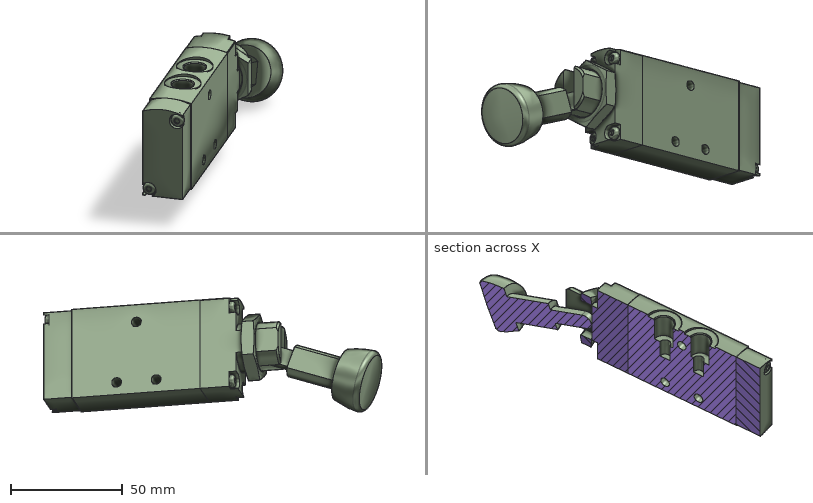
import cadquery as cq
import math

BLOCK_WIDTH = 19.5
CROWN_HEIGHT = 43.4
CROWN_SAG = 1.4
FRONT_SEAM_Y = 13.0
REAR_SEAM_Y = 71.8
REAR_FACE_Y = 88.4
FRONT_CAP_INSET = 0.5
EDGE_CHAMFER = 0.3

PORT_MIDDLE_Y = 42.6
PORT_SPACING = 19.8
SPOTFACE_DIAMETER = 16.5
SPOTFACE_DEPTH = 1.2
PORT_DIAMETER = 9.7
PORT_DEPTH = 12.2
PORT_CHAMFER = 0.5
PASSAGE_DIAMETER = 5.2
CROSS_HOLE_DIAMETER = 4.4
LOWER_HOLE_SPACING = 18.1
LOWER_HOLE_Z = 5.8
UPPER_HOLE_Z = 33.8

FRONT_SCREW_X = 6.5
REAR_SCREW_X = 6.2
LOWER_SCREW_Z = 3.5
UPPER_SCREW_Z = 38.3
RECESS_DIAMETER = 6.8
FRONT_RECESS_DEPTH = 2.5
REAR_RECESS_DEPTH = 3.3
HEAD_DIAMETER = 6.0
HEAD_HEIGHT = 2.1
HEAD_ROUNDING = 1.4
SOCKET_DIAMETER = 2.5
SOCKET_DEPTH = 0.9

STUB_AXIS_Z = 21.0
NECK_DIAMETER = 22.0
STUB_DIAMETER = 21.5
STUB_FLATS = 18.5
STUB_END_Y = 107.5
STUB_CHAMFER = 0.9
SLOT_WIDTH = 6.8
NUT_START_Y = 91.5
SLOT_FLOOR_Y = NUT_START_Y
NUT_THICKNESS = 6.1
NUT_FLATS = 27.2
NUT_HOLE_CHAMFER = 0.5
NUT_CHAMFER_DIAMETER = 26.2
NUT_CHAMFER_ANGLE = 10.0
HALF_HEX_STEP = 30.0

LEVER_TILT = 20.0
LEVER_ORIGIN_Y = 91.0
TONGUE_THICKNESS = 6.0
TONGUE_HEIGHT = 7.8
HANDLE_START = 22.8
HANDLE_DIAMETER = 14.8
HANDLE_FLATS = 10.6
KNOB_START = 46.7
KNOB_BASE_DIAMETER = 23.7
KNOB_DIAMETER = 28.5
KNOB_RIM = 58.1
KNOB_END = 60.5
KNOB_FACE_DOME = 0.5
KNOB_FACE_DIAMETER = 25.3
KNOB_SIDE_BULGE = 0.5

NUT_END_Y = NUT_START_Y + NUT_THICKNESS

FRONT_SCREWS = [(-FRONT_SCREW_X, LOWER_SCREW_Z), (FRONT_SCREW_X, UPPER_SCREW_Z)]


def box(x_range, y_range, z_range):
    """Axis-aligned block between pairs of limits."""
    size = [high - low for low, high in (x_range, y_range, z_range)]
    return cq.Workplane().box(*size, centered=False).translate((x_range[0], y_range[0], z_range[0]))


def rod(diameter, start_y, end_y, x=0.0, z=0.0):
    """Cylinder parallel to Y."""
    solid = cq.Solid.makeCylinder(diameter / 2, end_y - start_y, cq.Vector(x, start_y, z), cq.Vector(0, 1, 0))
    return cq.Workplane(solid)


def block(start_y, end_y, inset=0.0):
    """Length of the valve block: flat sides and underside, curved top."""
    half = BLOCK_WIDTH / 2 - inset
    shoulder = CROWN_HEIGHT - CROWN_SAG - inset
    outline = (
        cq.Workplane("XZ", origin=(0, start_y, 0))
        .moveTo(-half, inset)
        .lineTo(half, inset)
        .lineTo(half, shoulder)
        .threePointArc((0, CROWN_HEIGHT), (-half, shoulder))
        .close()
    )
    return outline.extrude(start_y - end_y)


def flatted_rod(diameter, flats, start_y, end_y):
    """Rod on the stub axis with a flat on each X side."""
    sides = box((-flats / 2, flats / 2), (start_y, end_y), (STUB_AXIS_Z - diameter, STUB_AXIS_Z + diameter))
    return rod(diameter, start_y, end_y, z=STUB_AXIS_Z).intersect(sides)


def screw_head(x, z, seat_y, outward):
    """Pan head with a round socket; outward is +1 towards +Y and -1 towards -Y."""
    head = (
        cq.Workplane("XY")
        .circle(HEAD_DIAMETER / 2)
        .extrude(HEAD_HEIGHT)
        .faces(">Z")
        .edges()
        .fillet(HEAD_ROUNDING)
        .faces(">Z")
        .workplane()
        .circle(SOCKET_DIAMETER / 2)
        .cutBlind(-SOCKET_DEPTH)
    )
    return head.rotate((0, 0, 0), (1, 0, 0), -90 * outward).translate((x, seat_y, z))


def make_body():
    body = block(FRONT_SEAM_Y, REAR_SEAM_Y)
    spotface_z = CROWN_HEIGHT - SPOTFACE_DEPTH
    passage_depth = spotface_z - STUB_AXIS_Z
    for side in (-1, 1):
        port = cq.Workplane("XY", origin=(0, PORT_MIDDLE_Y + side * PORT_SPACING / 2, spotface_z))
        body = body.cut(port.circle(SPOTFACE_DIAMETER / 2).extrude(2 * SPOTFACE_DEPTH))
        body = body.cut(port.circle(PORT_DIAMETER / 2).extrude(-PORT_DEPTH))
        mouth = cq.Solid.makeCone(PORT_DIAMETER / 2, PORT_DIAMETER / 2 + PORT_CHAMFER, PORT_CHAMFER)
        body = body.cut(cq.Workplane(mouth).translate(port.plane.origin - cq.Vector(0, 0, PORT_CHAMFER)))
        passage = cq.Workplane("XY", origin=(0, PORT_MIDDLE_Y + side * LOWER_HOLE_SPACING / 2, spotface_z))
        body = body.cut(passage.circle(PASSAGE_DIAMETER / 2).extrude(-passage_depth))
    cross_holes = [
        (PORT_MIDDLE_Y, UPPER_HOLE_Z),
        (PORT_MIDDLE_Y - LOWER_HOLE_SPACING / 2, LOWER_HOLE_Z),
        (PORT_MIDDLE_Y + LOWER_HOLE_SPACING / 2, LOWER_HOLE_Z),
    ]
    drills = (
        cq.Workplane("YZ")
        .pushPoints(cross_holes)
        .circle(CROSS_HOLE_DIAMETER / 2)
        .extrude(BLOCK_WIDTH / 2, both=True)
    )
    return body.cut(drills)


def make_front_cap():
    cap = block(0, FRONT_SEAM_Y, FRONT_CAP_INSET)
    for x, z in FRONT_SCREWS:
        cap = cap.cut(rod(RECESS_DIAMETER, 0, FRONT_RECESS_DEPTH, x, z))
    return cap


def make_front_screw(x, z):
    return screw_head(x, z, FRONT_RECESS_DEPTH, -1)


def corner_recess(side, z, vertical):
    """Round recess opened out to the side and to the top (vertical +1) or underside (-1)."""
    floor_y = REAR_FACE_Y - REAR_RECESS_DEPTH
    x = side * REAR_SCREW_X
    inner_z = z - vertical * RECESS_DIAMETER / 2
    outer_x = x + side * RECESS_DIAMETER
    outer_z = z + vertical * RECESS_DIAMETER
    opening = box(sorted((x, outer_x)), (floor_y, REAR_FACE_Y), sorted((inner_z, outer_z)))
    return rod(RECESS_DIAMETER, floor_y, REAR_FACE_Y, x, z).union(opening)


def make_stub():
    neck = flatted_rod(NECK_DIAMETER, BLOCK_WIDTH, REAR_FACE_Y, NUT_START_Y)
    thread = rod(STUB_DIAMETER, NUT_START_Y, STUB_END_Y, z=STUB_AXIS_Z).faces(">Y").chamfer(STUB_CHAMFER)
    thread = thread.intersect(flatted_rod(STUB_DIAMETER, STUB_FLATS, NUT_START_Y, STUB_END_Y))
    slot = box(
        (-SLOT_WIDTH / 2, SLOT_WIDTH / 2),
        (SLOT_FLOOR_Y, STUB_END_Y),
        (STUB_AXIS_Z - STUB_DIAMETER, STUB_AXIS_Z + STUB_DIAMETER),
    )
    return neck.union(thread).cut(slot)


def make_rear_cap():
    cap = block(REAR_SEAM_Y, REAR_FACE_Y)
    shoulder = CROWN_HEIGHT - CROWN_SAG
    for side in (-1, 1):
        edge_point = (side * BLOCK_WIDTH / 2, (REAR_SEAM_Y + REAR_FACE_Y) / 2, shoulder)
        cap = cap.edges(cq.selectors.NearestToPointSelector(edge_point)).chamfer(EDGE_CHAMFER)
    cap = cap.union(make_stub())
    for side in (-1, 1):
        for z, vertical in ((LOWER_SCREW_Z, -1), (UPPER_SCREW_Z, 1)):
            cap = cap.cut(corner_recess(side, z, vertical))
            cap = cap.union(screw_head(side * REAR_SCREW_X, z, REAR_FACE_Y - REAR_RECESS_DEPTH, 1))
    return cap


def make_nut():
    corner_radius = NUT_FLATS / 2 / math.cos(math.radians(HALF_HEX_STEP))
    nut = (
        cq.Workplane("XZ", origin=(0, NUT_START_Y, STUB_AXIS_Z))
        .polygon(6, 2 * corner_radius)
        .extrude(-NUT_THICKNESS)
        .rotate((0, 0, STUB_AXIS_Z), (0, 1, STUB_AXIS_Z), HALF_HEX_STEP)
    )
    face_radius = NUT_CHAMFER_DIAMETER / 2
    bevel = (corner_radius - face_radius) * math.tan(math.radians(NUT_CHAMFER_ANGLE))
    envelope = (
        cq.Workplane("XY")
        .polyline([
            (0, NUT_START_Y),
            (face_radius, NUT_START_Y),
            (corner_radius, NUT_START_Y + bevel),
            (corner_radius, NUT_END_Y - bevel),
            (face_radius, NUT_END_Y),
            (0, NUT_END_Y),
        ])
        .close()
        .revolve(360, (0, 0, 0), (0, 1, 0))
        .translate((0, 0, STUB_AXIS_Z))
    )
    hole = rod(STUB_DIAMETER, NUT_START_Y, NUT_END_Y, z=STUB_AXIS_Z)
    nut = nut.intersect(envelope).cut(hole)
    return nut.edges("%CIRCLE").edges(cq.selectors.RadiusNthSelector(0)).chamfer(NUT_HOLE_CHAMFER)


def make_lever():
    tilt = math.radians(LEVER_TILT)
    tongue_radius = TONGUE_HEIGHT / 2
    tip_centre = LEVER_ORIGIN_Y + (SLOT_FLOOR_Y + tongue_radius - LEVER_ORIGIN_Y) / math.cos(tilt)
    handle_start_y = LEVER_ORIGIN_Y + HANDLE_START
    knob_start_y = LEVER_ORIGIN_Y + KNOB_START
    rim_y = LEVER_ORIGIN_Y + KNOB_RIM
    end_y = LEVER_ORIGIN_Y + KNOB_END

    half_thickness = TONGUE_THICKNESS / 2
    tongue = box(
        (-half_thickness, half_thickness),
        (tip_centre, handle_start_y),
        (STUB_AXIS_Z - tongue_radius, STUB_AXIS_Z + tongue_radius),
    )
    tip = cq.Workplane("YZ").center(tip_centre, STUB_AXIS_Z).circle(tongue_radius)
    tongue = tongue.union(tip.extrude(half_thickness, both=True))

    handle = flatted_rod(HANDLE_DIAMETER, HANDLE_FLATS, handle_start_y, knob_start_y)

    base_radius = KNOB_BASE_DIAMETER / 2
    rim_radius = KNOB_DIAMETER / 2
    face_radius = KNOB_FACE_DIAMETER / 2
    side_middle = ((base_radius + rim_radius) / 2 + KNOB_SIDE_BULGE, (knob_start_y + rim_y) / 2)
    dome_radius = (face_radius**2 + KNOB_FACE_DOME**2) / (2 * KNOB_FACE_DOME)
    dome_top_y = end_y + KNOB_FACE_DOME
    half_way = face_radius / 2
    dome_middle = (half_way, dome_top_y - dome_radius + math.sqrt(dome_radius**2 - half_way**2))
    knob = (
        cq.Workplane("XY")
        .moveTo(0, knob_start_y)
        .lineTo(base_radius, knob_start_y)
        .threePointArc(side_middle, (rim_radius, rim_y))
        .tangentArcPoint((face_radius, end_y), relative=False)
        .threePointArc(dome_middle, (0, dome_top_y))
        .close()
        .revolve(360, (0, 0, 0), (0, 1, 0))
        .translate((0, 0, STUB_AXIS_Z))
    )
    lever = tongue.union(handle).union(knob)
    return lever.rotate((0, LEVER_ORIGIN_Y, STUB_AXIS_Z), (1, LEVER_ORIGIN_Y, STUB_AXIS_Z), -LEVER_TILT)


body = make_body()
front_cap = make_front_cap()
front_screws = [make_front_screw(x, z) for x, z in FRONT_SCREWS]
rear_cap = make_rear_cap()
nut = make_nut()
lever = make_lever()

result = cq.Compound.makeCompound([
    body.val(),
    front_cap.val(),
    *[screw.val() for screw in front_screws],
    rear_cap.val(),
    nut.val(),
    lever.val(),
])